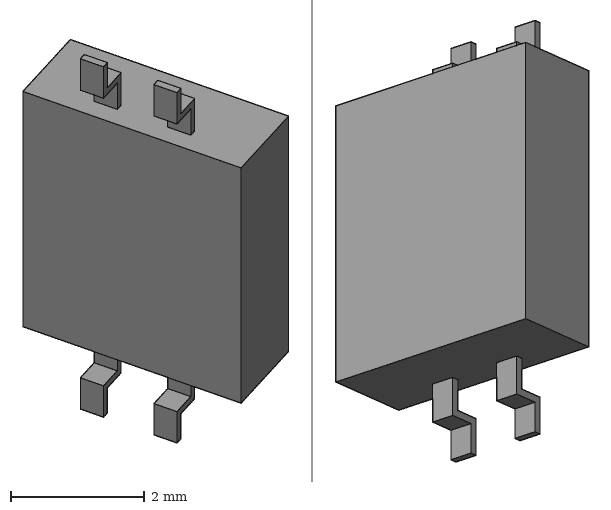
import cadquery as cq

body_width = 3.77
body_depth = 1.45
body_height = 4.5

overall_height = 6.7
standoff = 0.1
lead_width = 0.4
lead_pitch = 1.27
lead_thickness = 0.12
lead_rise = 0.54
foot_length = 0.6

body_front = standoff
body_end = body_height / 2
lead_tip = overall_height / 2
foot_heel = lead_tip - foot_length


def make_body():
    """Plain rectangular block standing off the mounting plane."""
    return cq.Workplane("XY").box(
        body_width, body_depth, body_height, centered=(True, False, True)
    ).translate((0, body_front, 0))


def make_lead(x_center):
    """Z-bent strip leaving the upper end face of the body."""
    root_front = lead_rise - lead_thickness
    bend_top = foot_heel + lead_thickness
    outline = [
        (root_front, body_end),
        (lead_rise, body_end),
        (lead_rise, bend_top),
        (lead_thickness, bend_top),
        (lead_thickness, lead_tip),
        (0, lead_tip),
        (0, foot_heel),
        (root_front, foot_heel),
    ]
    return (
        cq.Workplane("YZ", origin=(x_center - lead_width / 2, 0, 0))
        .polyline(outline)
        .close()
        .extrude(lead_width)
    )


result = make_body()
for x_center in (-lead_pitch / 2, lead_pitch / 2):
    upper_lead = make_lead(x_center)
    lower_lead = upper_lead.mirror("XY")
    result = result.union(upper_lead).union(lower_lead)